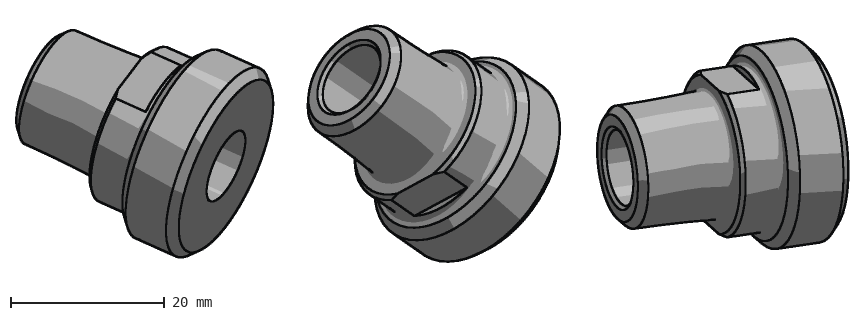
import cadquery as cq

total_length = 27.5
collar_start = 13.0
flat_end = 18.05
head_start = 19.0

bore_radius = 5.0
nose_tip_radius = 8.1
nose_root_radius = 8.47
collar_radius = 11.0
head_radius = 13.42

flat_spacing = 20.02

bore_chamfer = 0.5
nose_chamfer = 1.05
collar_chamfer = 0.55
head_chamfer = 1.2
nose_root_fillet = 0.75
collar_root_fillet = 0.8

COS_45 = 0.5 ** 0.5


def root_fillet(outline, shoulder_x, cylinder_radius, fillet_radius):
    """Add a concave quarter round from a cylinder up to a shoulder face."""
    centre_x = shoulder_x - fillet_radius
    centre_r = cylinder_radius + fillet_radius
    middle = (centre_x + fillet_radius * COS_45, centre_r - fillet_radius * COS_45)
    return outline.threePointArc(middle, (shoulder_x, centre_r))


def turned_body():
    """Revolve the half section, with its flared nose, collar and head, about X."""
    outline = (
        cq.Workplane("XY")
        .moveTo(0, bore_radius + bore_chamfer)
        .lineTo(0, nose_tip_radius - nose_chamfer)
        .lineTo(nose_chamfer, nose_tip_radius)
    )
    flare_end = (collar_start - nose_root_fillet, nose_root_radius)
    flare_length = flare_end[0] - nose_chamfer
    flare_rise = nose_root_radius - nose_tip_radius
    flare_radius = (flare_length**2 + flare_rise**2) / (2 * flare_rise)
    half_length = flare_length / 2
    half_rise = flare_radius - (flare_radius**2 - half_length**2) ** 0.5
    flare_middle = (nose_chamfer + half_length, nose_tip_radius + half_rise)
    outline = outline.threePointArc(flare_middle, flare_end)
    outline = root_fillet(outline, collar_start, nose_root_radius, nose_root_fillet)

    outline = (
        outline.lineTo(collar_start, collar_radius - collar_chamfer)
        .lineTo(collar_start + collar_chamfer, collar_radius)
        .lineTo(head_start - collar_root_fillet, collar_radius)
    )
    outline = root_fillet(outline, head_start, collar_radius, collar_root_fillet)

    outline = (
        outline.lineTo(head_start, head_radius - head_chamfer)
        .lineTo(head_start + head_chamfer, head_radius)
        .lineTo(total_length - head_chamfer, head_radius)
        .lineTo(total_length, head_radius - head_chamfer)
        .lineTo(total_length, bore_radius)
        .lineTo(bore_chamfer, bore_radius)
        .close()
    )
    return outline.revolve(360, (0, 0, 0), (1, 0, 0))


def flat_cutter(side):
    """Block that trims the collar to a flat above (side=1) or below (side=-1) the axis."""
    depth = head_radius - flat_spacing / 2
    centre_z = side * (flat_spacing + depth) / 2
    return (
        cq.Workplane("XY")
        .box(flat_end - collar_start, 2 * head_radius, depth)
        .translate(((collar_start + flat_end) / 2, 0, centre_z))
    )


result = turned_body()
for side in (1, -1):
    result = result.cut(flat_cutter(side))